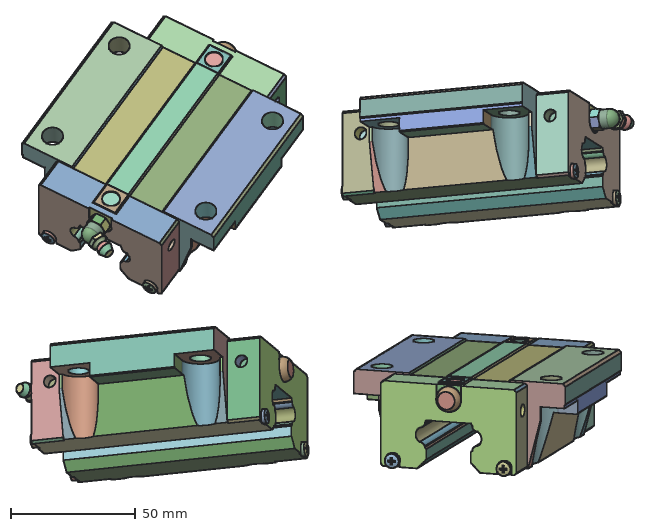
import cadquery as cq
import math

BLOCK_LENGTH = 69.9
BLOCK_TOP = 36.0
FLANGE_WIDTH = 90.0
FLANGE_BOTTOM = 20.1
FLANGE_CHAMFER = 1.1
FLANGE_BOTTOM_CHAMFER = 0.5
REFERENCE_EDGE_BOTTOM = 27.6
REFERENCE_STEP = 0.5
WAIST_HALF_WIDTH = 34.3
FOOT_HALF_WIDTH = 29.1
CENTER_STRIP_HALF_WIDTH = 5.0
GROOVE_OUTER_HALF_WIDTH = 21.5
GROOVE_DEPTH = 0.7

HOLE_SPACING_X = 72.0
HOLE_SPACING_Y = 52.0
HOLE_DIAMETER = 8.5
SPOT_FACE_DIAMETER = 15.8
SPOT_FACE_Z = 25.9

CAP_HALF_LENGTH = 45.4
SEAL_THICKNESS = 3.3
SEAL_FACE = CAP_HALF_LENGTH + SEAL_THICKNESS
CAP_WIDTH = 57.7
CAP_TOP = 35.2
CAP_CHAMFER = 1.0
CAP_STRIP_HEIGHT = 0.6
OIL_PORT_Y = 40.2
TOP_PORT_DIAMETER = 7.3
TOP_PORT_DEPTH = 0.6
SIDE_PORT_DIAMETER = 5.0
SIDE_PORT_DEPTH = 5.7
SIDE_PORT_Y = 40.9
SIDE_PORT_Z = 25.2
SEAL_RECESS_DEPTH = 0.7
LUBE_RECESS_DIAMETER = 10.5
LUBE_Z = 29.4

SCREW_X = 23.7
SCREW_DIAMETER = 5.9
SCREW_OVERHANG = 0.3
SCREW_Z = SCREW_DIAMETER / 2 - SCREW_OVERHANG
SCREW_RECESS_DIAMETER = 6.2
SCREW_RIM_HEIGHT = 1.2
SCREW_CROWN_HEIGHT = 0.7
SCREW_HEAD_HEIGHT = SCREW_RIM_HEIGHT + SCREW_CROWN_HEIGHT
CROSS_LENGTH = 3.0
CROSS_WIDTH = 0.7
CROSS_DEPTH = 0.6

PLUG_DIAMETER = 10.3
PLUG_FLAT_DIAMETER = 7.3
PLUG_HEIGHT = 3.0
PLUG_BULGE = 0.3

NIPPLE_HEX = 7.8
NIPPLE_HEX_END = 3.4
NIPPLE_HEX_CHAMFER = 0.3
ELBOW_DIAMETER = 7.8
ELBOW_CENTER = 6.8
ARM_ANGLE = 22.1
ARM_HEX = 6.9
ARM_HEX_START = 3.4
ARM_HEX_END = 5.2
NECK_DIAMETER = 4.8
NECK_POSITION = 6.9
COLLAR_FILLET_RISE = 0.3
COLLAR_FILLET_RUN = 0.6
HEAD_DIAMETER = 6.2
HEAD_POSITION = 9.2
HEAD_BULGE = 0.2
TIP_DIAMETER = 3.9
TIP_POSITION = 11.9


def across_corners(across_flats):
    """Diameter across the corners of a hexagon."""
    return across_flats / math.cos(math.pi / 6)


def extrude_along_y(outline, half_length):
    """Extrude an XZ outline symmetrically about Y = 0."""
    return outline.extrude(half_length, both=True)


def carriage_block():
    """Flanged block with shallow grooves along its top."""
    half = FLANGE_WIDTH / 2
    strip = CENTER_STRIP_HALF_WIDTH
    outer = GROOVE_OUTER_HALF_WIDTH
    groove_z = BLOCK_TOP - GROOVE_DEPTH
    right_side = [
        (strip, BLOCK_TOP),
        (strip + GROOVE_DEPTH, groove_z),
        (outer - GROOVE_DEPTH, groove_z),
        (outer, BLOCK_TOP),
        (half - FLANGE_CHAMFER, BLOCK_TOP),
        (half, BLOCK_TOP - FLANGE_CHAMFER),
        (half, FLANGE_BOTTOM + FLANGE_BOTTOM_CHAMFER),
        (half - FLANGE_BOTTOM_CHAMFER, FLANGE_BOTTOM),
        (WAIST_HALF_WIDTH, FLANGE_BOTTOM),
        (FOOT_HALF_WIDTH, 0),
    ]
    left_side = [(-x, z) for x, z in reversed(right_side)]
    outline = cq.Workplane("XZ").polyline(right_side + left_side).close()
    block = extrude_along_y(outline, BLOCK_LENGTH / 2)

    relieved = half - REFERENCE_STEP
    relief = (
        cq.Workplane("XZ")
        .polyline([
            (-half, 0),
            (-half, REFERENCE_EDGE_BOTTOM),
            (-relieved, REFERENCE_EDGE_BOTTOM - REFERENCE_STEP),
            (-relieved, FLANGE_BOTTOM + FLANGE_BOTTOM_CHAMFER),
            (-relieved + FLANGE_BOTTOM_CHAMFER, FLANGE_BOTTOM),
            (-relieved + FLANGE_BOTTOM_CHAMFER, 0),
        ])
        .close()
    )
    return block.cut(extrude_along_y(relief, BLOCK_LENGTH / 2))


def hole_clearances():
    """Bolt holes with open clearance under each corner of the flange."""
    cuts = cq.Workplane("XY")
    radius = SPOT_FACE_DIAMETER / 2
    hole_x = HOLE_SPACING_X / 2
    hole_y = HOLE_SPACING_Y / 2
    for side in (-1, 1):
        for end in (-1, 1):
            center = (side * hole_x, end * hole_y)
            hole = cq.Workplane("XY").center(*center).circle(HOLE_DIAMETER / 2).extrude(BLOCK_TOP)
            spot_face = cq.Workplane("XY").center(*center).circle(radius).extrude(SPOT_FACE_Z)
            corner_pocket = (
                cq.Workplane("XY")
                .moveTo(side * hole_x, end * (hole_y - radius))
                .lineTo(side * FLANGE_WIDTH / 2, end * (hole_y - radius))
                .lineTo(side * FLANGE_WIDTH / 2, end * BLOCK_LENGTH / 2)
                .lineTo(side * WAIST_HALF_WIDTH, end * BLOCK_LENGTH / 2)
                .lineTo(side * WAIST_HALF_WIDTH, end * hole_y)
                .lineTo(side * hole_x, end * hole_y)
                .close()
                .extrude(SPOT_FACE_Z)
            )
            cuts = cuts.add(hole).add(spot_face).add(corner_pocket)
    return cuts.combine()


def end_caps():
    """Both caps and seals, as one bar running through the block."""
    bar = (
        cq.Workplane("XY")
        .box(CAP_WIDTH, 2 * SEAL_FACE, CAP_TOP, centered=(True, True, False))
        .edges("|Y")
        .chamfer(CAP_CHAMFER)
    )
    top = CENTER_STRIP_HALF_WIDTH
    base = top + CAP_STRIP_HEIGHT
    strip_top = CAP_TOP + CAP_STRIP_HEIGHT
    strip = (
        cq.Workplane("XZ")
        .moveTo(-base, CAP_TOP)
        .lineTo(-top, strip_top)
        .lineTo(top, strip_top)
        .lineTo(base, CAP_TOP)
        .close()
    )
    return bar.union(extrude_along_y(strip, CAP_HALF_LENGTH))


def cap_ports():
    """Shallow round recesses on top of the caps and round holes in their sides."""
    ports = (
        cq.Workplane("XY", origin=(0, 0, CAP_TOP + CAP_STRIP_HEIGHT))
        .pushPoints([(0, -OIL_PORT_Y), (0, OIL_PORT_Y)])
        .circle(TOP_PORT_DIAMETER / 2)
        .extrude(-TOP_PORT_DEPTH)
    )
    for side in (-1, 1):
        side_ports = (
            cq.Workplane("YZ", origin=(side * CAP_WIDTH / 2, 0, 0))
            .pushPoints([(-SIDE_PORT_Y, SIDE_PORT_Z), (SIDE_PORT_Y, SIDE_PORT_Z)])
            .circle(SIDE_PORT_DIAMETER / 2)
            .extrude(-side * SIDE_PORT_DEPTH)
        )
        ports = ports.add(side_ports)
    return ports.combine()


def rail_channel():
    """Rail passage with a ball groove in each wall, open at the bottom."""
    top_half_width = 9.5
    lip_half_width = 10.1
    lip_top = 19.0
    groove_half_width = 14.0
    groove_edge = 12.3
    groove_z = 14.0
    groove_half_height = 3.0
    lip_round_x = 10.7
    lip_round_height = 3.6
    lip_offset = 4.5
    skirt_half_width = 9.4
    skirt_top = 8.3
    skirt_bottom = 4.0
    mouth_half_width = 13.4
    right_half = (
        cq.Workplane("XZ")
        .moveTo(0, FLANGE_BOTTOM)
        .lineTo(top_half_width, FLANGE_BOTTOM)
        .lineTo(lip_half_width, lip_top)
        .lineTo(lip_half_width, groove_z + lip_offset)
        .threePointArc(
            (lip_round_x, groove_z + lip_round_height),
            (groove_edge, groove_z + groove_half_height),
        )
        .threePointArc((groove_half_width, groove_z), (groove_edge, groove_z - groove_half_height))
        .threePointArc(
            (lip_round_x, groove_z - lip_round_height),
            (lip_half_width, groove_z - lip_offset),
        )
        .lineTo(lip_half_width, skirt_top + lip_half_width - skirt_half_width)
        .lineTo(skirt_half_width, skirt_top)
        .lineTo(skirt_half_width, skirt_bottom)
        .lineTo(mouth_half_width, 0)
        .lineTo(0, 0)
        .close()
    )
    half_channel = extrude_along_y(right_half, SEAL_FACE)
    return half_channel.union(half_channel.mirror("YZ"))


def seal_plane(end, x, z):
    """Plane on a seal face with its normal pointing out of the part."""
    return cq.Plane(origin=(x, end * SEAL_FACE, z), xDir=(-end, 0, 0), normal=(0, end, 0))


def open_recess(plane, diameter, open_length):
    """Round recess in a seal, carried on at full width to the seal's edge."""
    round_end = cq.Workplane(plane).circle(diameter / 2).extrude(-SEAL_RECESS_DEPTH)
    straight = (
        cq.Workplane(plane)
        .center(0, open_length / 2)
        .rect(diameter, abs(open_length))
        .extrude(-SEAL_RECESS_DEPTH)
    )
    return round_end.union(straight)


def screw_head(plane):
    """Domed cross-head screw standing in its recess."""
    radius = SCREW_DIAMETER / 2
    crown_radius = (radius**2 + SCREW_CROWN_HEIGHT**2) / (2 * SCREW_CROWN_HEIGHT)
    half_angle = math.asin(radius / crown_radius) / 2
    crown_middle = (
        crown_radius * math.sin(half_angle),
        SCREW_HEAD_HEIGHT - crown_radius * (1 - math.cos(half_angle)),
    )
    head = (
        cq.Workplane("XZ")
        .moveTo(0, -SEAL_RECESS_DEPTH)
        .lineTo(radius, -SEAL_RECESS_DEPTH)
        .lineTo(radius, SCREW_RIM_HEIGHT)
        .threePointArc(crown_middle, (0, SCREW_HEAD_HEIGHT))
        .close()
        .revolve(360, (0, 0), (0, 1))
    )
    cross_plane = cq.Workplane("XY", origin=(0, 0, SCREW_HEAD_HEIGHT))
    for width, height in ((CROSS_LENGTH, CROSS_WIDTH), (CROSS_WIDTH, CROSS_LENGTH)):
        head = head.cut(cross_plane.rect(width, height).extrude(-CROSS_DEPTH))
    return head.val().moved(plane.location)


def closing_plug():
    """Rounded plug over the unused grease port."""
    radius = PLUG_DIAMETER / 2
    flat = PLUG_FLAT_DIAMETER / 2
    plug = (
        cq.Workplane("XZ")
        .moveTo(0, -SEAL_RECESS_DEPTH)
        .lineTo(radius, -SEAL_RECESS_DEPTH)
        .lineTo(radius, 0)
        .threePointArc(
            ((radius + flat) / 2 + PLUG_BULGE, PLUG_HEIGHT / 2 + PLUG_BULGE / 2),
            (flat, PLUG_HEIGHT),
        )
        .lineTo(0, PLUG_HEIGHT)
        .close()
        .revolve(360, (0, 0), (0, 1))
    )
    return plug.val().moved(seal_plane(1, 0, LUBE_Z).location)


def grease_nipple():
    """Hexagon base, ball elbow and an arm turned away from +X towards -Y."""
    base_plane = seal_plane(-1, 0, LUBE_Z)
    elbow_y = -SEAL_FACE - ELBOW_CENTER
    base_hex = (
        cq.Workplane(base_plane)
        .workplane(offset=-SEAL_RECESS_DEPTH)
        .polygon(6, across_corners(NIPPLE_HEX))
        .extrude(SEAL_RECESS_DEPTH + NIPPLE_HEX_END)
    )
    corner_trim = (
        cq.Workplane(base_plane)
        .workplane(offset=-SEAL_RECESS_DEPTH)
        .circle(across_corners(NIPPLE_HEX) / 2)
        .extrude(SEAL_RECESS_DEPTH + NIPPLE_HEX_END)
        .faces("<Y or >Y")
        .chamfer(NIPPLE_HEX_CHAMFER)
    )
    base_hex = base_hex.intersect(corner_trim)
    stem = cq.Workplane(base_plane).circle(ELBOW_DIAMETER / 2).extrude(ELBOW_CENTER)
    elbow = cq.Workplane("XY", origin=(0, elbow_y, LUBE_Z)).sphere(ELBOW_DIAMETER / 2)

    angle = math.radians(ARM_ANGLE)
    arm_plane = cq.Plane(
        origin=(0, elbow_y, LUBE_Z),
        xDir=(math.sin(angle), math.cos(angle), 0),
        normal=(math.cos(angle), -math.sin(angle), 0),
    )
    arm_hex = (
        cq.Workplane("XY", origin=(0, 0, ARM_HEX_START))
        .polygon(6, across_corners(ARM_HEX))
        .extrude(ARM_HEX_END - ARM_HEX_START)
    )
    neck_radius = NECK_DIAMETER / 2
    head_radius = HEAD_DIAMETER / 2
    head_shoulder = (
        (neck_radius + head_radius) / 2 + HEAD_BULGE,
        (NECK_POSITION + HEAD_POSITION) / 2,
    )
    arm_head = (
        cq.Workplane("XZ")
        .lineTo(neck_radius, 0)
        .lineTo(neck_radius, ARM_HEX_END)
        .lineTo(ARM_HEX / 2, ARM_HEX_END)
        .threePointArc(
            (neck_radius + COLLAR_FILLET_RISE, ARM_HEX_END + COLLAR_FILLET_RUN),
            (neck_radius, NECK_POSITION),
        )
        .threePointArc(head_shoulder, (head_radius, HEAD_POSITION))
        .lineTo(TIP_DIAMETER / 2, TIP_POSITION)
        .lineTo(0, TIP_POSITION)
        .close()
        .revolve(360, (0, 0), (0, 1))
    )
    arm = arm_hex.union(arm_head).val().moved(arm_plane.location)
    return base_hex.union(stem).union(elbow).union(cq.Workplane(arm))


result = carriage_block().union(end_caps()).cut(hole_clearances())
result = result.cut(rail_channel()).cut(cap_ports())

for end in (-1, 1):
    lube_plane = seal_plane(end, 0, LUBE_Z)
    result = result.cut(open_recess(lube_plane, LUBE_RECESS_DIAMETER, CAP_TOP - LUBE_Z))
    for screw_x in (-SCREW_X, SCREW_X):
        screw_plane = seal_plane(end, screw_x, SCREW_Z)
        result = result.cut(open_recess(screw_plane, SCREW_RECESS_DIAMETER, -SCREW_Z))
        result = result.union(cq.Workplane(screw_head(screw_plane)))

result = result.union(cq.Workplane(closing_plug())).union(grease_nipple())